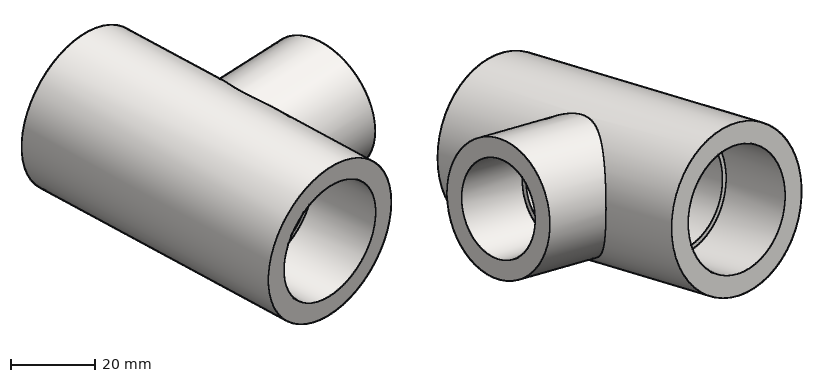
import cadquery as cq

socket_depth = 20.0

run_length = 79.5
run_diameter = 43.0
run_socket_diameter = 32.0
run_bore_diameter = 29.65

branch_diameter = 35.0
branch_socket_diameter = 25.0
branch_bore_diameter = 22.3
overall_width = 61.5
branch_reach = overall_width - run_diameter / 2


def run_cylinder(diameter, length):
    """Cylinder along X, centred on the origin."""
    return cq.Workplane("YZ").circle(diameter / 2).extrude(length / 2, both=True)


def branch_cylinder(diameter, start, end):
    """Cylinder along +Y between two distances from the run axis."""
    plane = cq.Plane(origin=(0, start, 0), xDir=(1, 0, 0), normal=(0, 1, 0))
    return cq.Workplane(plane).circle(diameter / 2).extrude(end - start)


body = run_cylinder(run_diameter, run_length)
body = body.union(branch_cylinder(branch_diameter, 0, branch_reach))

body = body.cut(run_cylinder(run_bore_diameter, run_length))
body = body.cut(branch_cylinder(branch_bore_diameter, 0, branch_reach))

run_socket = cq.Workplane("YZ").circle(run_socket_diameter / 2).extrude(socket_depth)
for socket_start in (-run_length / 2, run_length / 2 - socket_depth):
    body = body.cut(run_socket.translate((socket_start, 0, 0)))
branch_socket_start = branch_reach - socket_depth
result = body.cut(branch_cylinder(branch_socket_diameter, branch_socket_start, branch_reach))